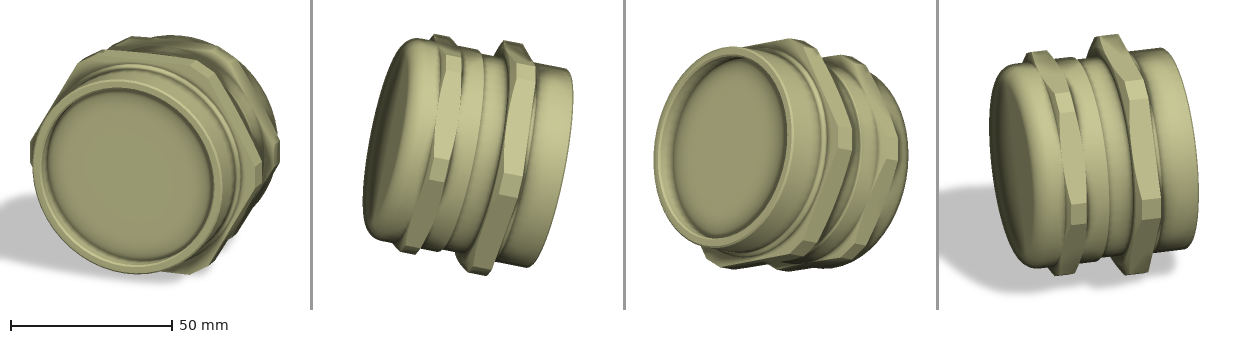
import cadquery as cq
import math


seal_start = 11.85
body_hex_start = 13.8
body_hex_end = 21.1
band_start = 28.85
cap_hex_start = 35.9
cap_hex_end = 43.0
total_length = 52.0

thread_diameter = 63.05
neck_diameter = 62.0
cap_diameter = 64.0
cap_edge_radius = 4.9
band_edge_radius = 0.3
rim_chamfer = 0.5

seal_section_radius = 1.3
seal_centre = seal_start + seal_section_radius
seal_end = seal_centre + seal_section_radius

recess_diameter = 57.0
recess_depth = 5.95

body_hex_flats = 68.0
body_hex_corners = 74.5
cap_hex_flats = cap_diameter
cap_hex_corners = 69.75
bevel_angle = 20.0


def cylinder(diameter, start, end):
    """Solid cylinder about the Y axis between two places along Y."""
    return cq.Workplane("XZ", origin=(0, start, 0)).circle(diameter / 2).extrude(start - end)


def hex_prism(across_flats, start, end):
    """Hexagonal prism along Y with two corners on the X axis."""
    across_corners = across_flats / math.cos(math.pi / 6)
    return cq.Workplane("XZ", origin=(0, start, 0)).polygon(6, across_corners).extrude(start - end)


def bevel_cone(across_flats, base, tip_direction):
    """Solid cone that meets the plane Y = base on the circle touching the flats."""
    base_radius = across_flats / 2
    slope = math.tan(math.radians(bevel_angle))
    wide_radius = across_flats
    wide_place = base - tip_direction * (wide_radius - base_radius) * slope
    tip_place = base + tip_direction * base_radius * slope
    outline = cq.Workplane("XY").polyline([(0, tip_place), (wide_radius, wide_place), (0, wide_place)])
    return outline.close().revolve(360, (0, 0, 0), (0, 1, 0))


def hexagon(across_flats, across_corners, start, end):
    """Hexagon with flattened corners and a bevelled back end."""
    corner_trim = hex_prism(across_corners, start, end).rotate((0, 0, 0), (0, 1, 0), 30)
    prism = hex_prism(across_flats, start, end).intersect(corner_trim)
    return prism.intersect(bevel_cone(across_flats, end, 1))


thread = (
    cylinder(thread_diameter, 0, body_hex_start)
    .cut(cylinder(recess_diameter, 0, recess_depth))
    .faces("<Y").chamfer(rim_chamfer)
)

thread_radius = thread_diameter / 2
seal = (
    cq.Workplane("XY")
    .moveTo(thread_radius, seal_start)
    .threePointArc((thread_radius + seal_section_radius, seal_centre), (thread_radius, seal_end))
    .lineTo(0, seal_end)
    .lineTo(0, seal_start)
    .close()
    .revolve(360, (0, 0, 0), (0, 1, 0))
)

body_hex = hexagon(body_hex_flats, body_hex_corners, body_hex_start, body_hex_end)

neck = cylinder(neck_diameter, body_hex_end, band_start)

cap = (
    cylinder(cap_diameter, band_start, total_length)
    .faces("<Y").edges().fillet(band_edge_radius)
    .faces(">Y").edges().fillet(cap_edge_radius)
)

cap_hex = hexagon(cap_hex_flats, cap_hex_corners, cap_hex_start, cap_hex_end)
cap_hex = cap_hex.intersect(bevel_cone(cap_hex_flats, cap_hex_start, -1))

result = thread.union(seal).union(body_hex).union(neck).union(cap).union(cap_hex)